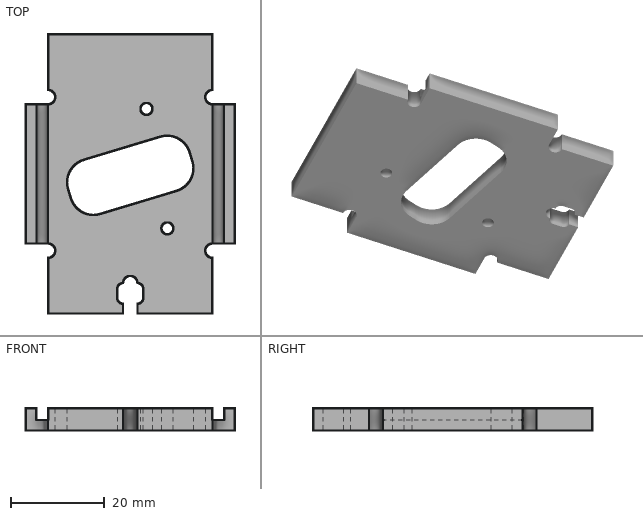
import cadquery as cq

plate_width = 35.0
plate_length = 59.5
thickness = 4.8

overall_width = 44.6
rail_length = 29.7
rail_wall = 2.3
rail_floor = 2.3
rail_reach = (overall_width - plate_width) / 2
groove_width = rail_reach - rail_wall

relief_radius = 1.5

window_length = 27.0
window_width = 12.0
window_corner_radius = 5.0
window_tilt = 16.8
window_center = (0.0, -0.3)

hole_diameter = 2.5
hole_centers = [(3.45, 13.85), (7.9, -11.6)]

key_slot_width = 3.0
key_depth = 8.0
key_body_corner_radius = 1.25
key_body_width = key_slot_width + 2 * key_body_corner_radius
key_body_length = 4.4
key_body_top = key_depth - key_slot_width / 2


def make_plate():
    return cq.Workplane("XY").box(plate_width, plate_length, thickness, centered=(True, True, False))


def make_rail(side):
    """L-shaped rail on the +X (side = 1) or -X (side = -1) edge of the plate."""
    inner_x = side * plate_width / 2
    wall_x = side * (plate_width / 2 + groove_width)
    outer_x = side * overall_width / 2
    profile = [
        (inner_x, 0),
        (outer_x, 0),
        (outer_x, thickness),
        (wall_x, thickness),
        (wall_x, rail_floor),
        (inner_x, rail_floor),
    ]
    return cq.Workplane("XZ").polyline(profile).close().extrude(rail_length / 2, both=True)


def make_edge_reliefs():
    relief_x = plate_width / 2
    relief_y = rail_length / 2 + relief_radius
    centers = [(sx * relief_x, sy * relief_y) for sx in (-1, 1) for sy in (-1, 1)]
    return cq.Workplane("XY").pushPoints(centers).circle(relief_radius).extrude(thickness)


def make_window():
    return (
        cq.Workplane("XY")
        .rect(window_length, window_width)
        .extrude(thickness)
        .edges("|Z")
        .fillet(window_corner_radius)
        .rotate((0, 0, 0), (0, 0, 1), window_tilt)
        .translate(window_center)
    )


def make_holes():
    return cq.Workplane("XY").pushPoints(hole_centers).circle(hole_diameter / 2).extrude(thickness)


def make_keyhole():
    edge_y = -plate_length / 2
    half_slot = key_slot_width / 2
    slot = (
        cq.Workplane("XY")
        .moveTo(-half_slot, edge_y)
        .lineTo(half_slot, edge_y)
        .lineTo(half_slot, edge_y + key_body_top)
        .threePointArc((0, edge_y + key_depth), (-half_slot, edge_y + key_body_top))
        .close()
        .extrude(thickness)
    )
    body = (
        cq.Workplane("XY")
        .center(0, edge_y + key_body_top - key_body_length / 2)
        .rect(key_body_width, key_body_length)
        .extrude(thickness)
        .edges("|Z")
        .fillet(key_body_corner_radius)
    )
    return slot.union(body)


result = make_plate()
for rail_side in (-1, 1):
    result = result.union(make_rail(rail_side))
for cutter in (make_edge_reliefs(), make_window(), make_holes(), make_keyhole()):
    result = result.cut(cutter)